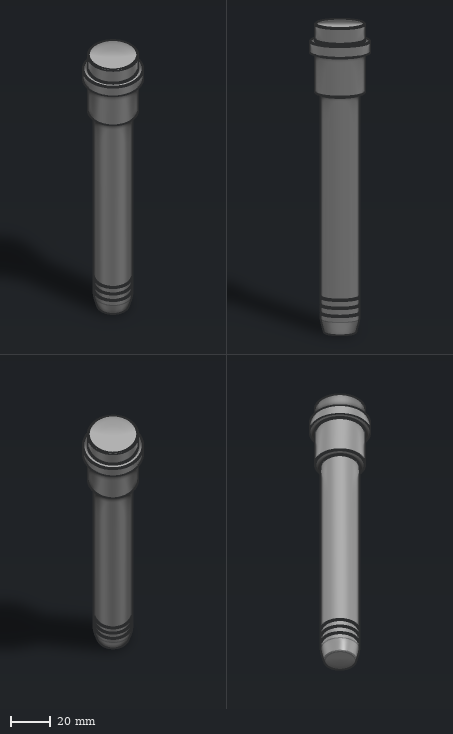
import cadquery as cq

total_length = 161.0
cap_height = 9.0
flange_height = 6.0
head_length = 36.0
flange_top = total_length - cap_height
flange_bottom = flange_top - flange_height
head_bottom = total_length - head_length

flange_radius = 31.0 / 2
head_radius = 26.0 / 2
shank_radius = 20.0 / 2

edge_chamfer = 0.5
cap_chamfer = 0.6
relief_width = 1.0
relief_depth = 0.5
flange_relief_depth = relief_width / 2

ring_count = 3
ring_pitch = 4.2
ring_depth = 0.5
lowest_ring_z = 10.3

nose_height = 7.2
nose_end_radius = 8.2
nose_bulge = 0.2
nose_fillet = 0.6


def cylinder(radius, bottom, top):
    return cq.Workplane("XY").workplane(offset=bottom).circle(radius).extrude(top - bottom)


def groove(outer_radius, depth, bottom, width):
    """Ring of material to remove from a cylinder of the given radius."""
    return cylinder(outer_radius, bottom, bottom + width).cut(
        cylinder(outer_radius - depth, bottom, bottom + width)
    )


def v_groove(outer_radius, depth, center_z):
    """V-section ring, as wide as twice its depth, to remove from a cylinder."""
    section = (
        cq.Workplane("XZ")
        .moveTo(outer_radius - depth, center_z)
        .lineTo(outer_radius, center_z + depth)
        .lineTo(outer_radius, center_z - depth)
        .close()
    )
    return section.revolve(360, (0, 0, 0), (0, 1, 0))


def nose():
    middle_radius = (shank_radius + nose_end_radius) / 2 + nose_bulge
    profile = (
        cq.Workplane("XZ")
        .lineTo(nose_end_radius, 0)
        .threePointArc((middle_radius, nose_height / 2), (shank_radius, nose_height))
        .lineTo(0, nose_height)
        .close()
    )
    return profile.revolve(360, (0, 0, 0), (0, 1, 0)).faces("<Z").edges().fillet(nose_fillet)


head = cylinder(head_radius, head_bottom, total_length)
head = head.faces(">Z").edges().chamfer(cap_chamfer)
head = head.faces("<Z").edges().chamfer(edge_chamfer)
flange = cylinder(flange_radius, flange_bottom, flange_top).faces(">Z").edges().chamfer(edge_chamfer)

head = head.cut(v_groove(head_radius, flange_relief_depth, flange_top + flange_relief_depth))
head = head.cut(v_groove(head_radius, flange_relief_depth, flange_bottom - flange_relief_depth))

shank = cylinder(shank_radius, nose_height, head_bottom)
shank = shank.cut(groove(shank_radius, relief_depth, head_bottom - relief_width, relief_width))
for index in range(ring_count):
    ring_z = lowest_ring_z + index * ring_pitch
    shank = shank.cut(v_groove(shank_radius, ring_depth, ring_z))

result = head.union(flange).union(shank).union(nose())